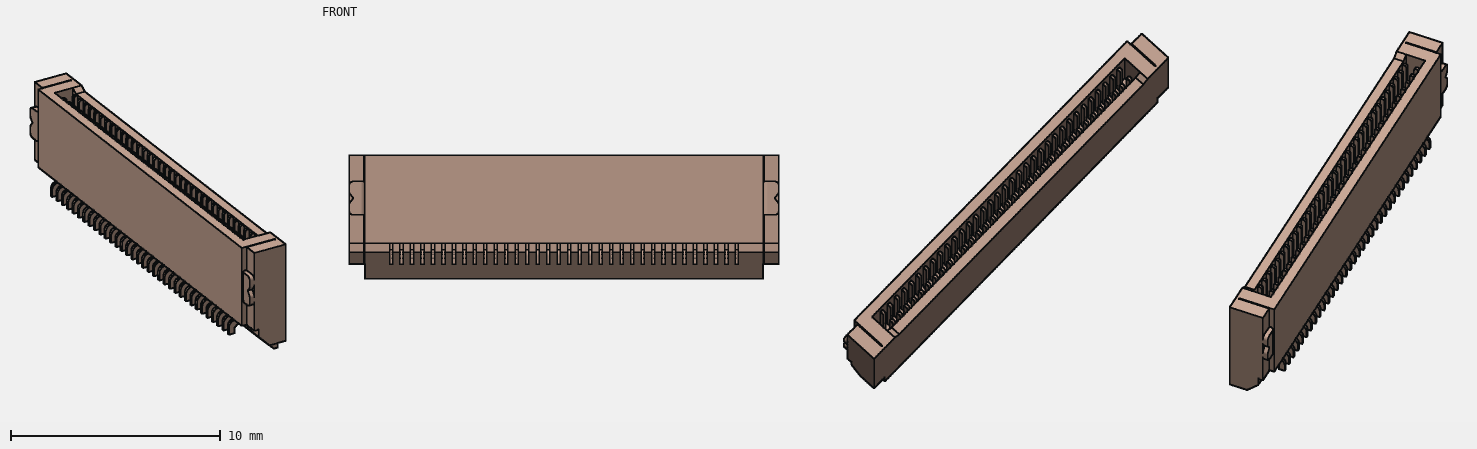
import cadquery as cq


LENGTH = 20.5
THICKNESS = 2.0
HEIGHT = 5.9
FRONT = -THICKNESS / 2
BACK = THICKNESS / 2

BODY_LENGTH = 19.0
FRONT_WALL_BOTTOM = HEIGHT - 4.2
RECESS_DEPTH = 0.5
FOOT_THICKNESS = 0.22
BEVEL_RISE = THICKNESS - RECESS_DEPTH - FOOT_THICKNESS

EAR_BOTTOM = HEIGHT - 5.2
EAR_SETBACK = 0.25
SLIT_WIDTH = 0.05
SLIT_BACK_WALL = 0.17

CAVITY_LENGTH = 17.6
CAVITY_WIDTH = 1.0
CAVITY_FLOOR = HEIGHT - 3.5
BACK_WALL_DROP = 0.2
BACK_WALL_RAMP_RUN = 0.3

CONTACTS_PER_ROW = 34
PITCH = 0.5
CONTACT_WIDTH = 0.15
CONTACT_THICKNESS = 0.22
CONTACT_OFFSET = 0.2
CONTACT_TOP = HEIGHT - 0.1
CONTACT_OUTER_ROUND = 0.1
CONTACT_INNER_ROUND = CONTACT_THICKNESS - CONTACT_OUTER_ROUND

TAIL_THICKNESS = 0.25
TAIL_BOTTOM = EAR_BOTTOM
TAIL_FOOT_THICKNESS = 0.3
TAIL_BEND_TOP = FRONT_WALL_BOTTOM - 0.3
TAIL_BEND_DROP = 0.3
TAIL_INNER_BEND_OFFSET = 0.22

TAB_TOP = HEIGHT - 1.25
TAB_HEIGHT = 1.6
TAB_BEND_RADIUS = 0.22
TAB_CORNER_RADIUS = 0.2
NOTCH_DEPTH = 0.2
NOTCH_HEIGHT = 0.5
NOTCH_LIP_RADIUS = 0.2


def box(x_range, y_range, z_range):
    """Axis-aligned box from its lower and upper limits."""
    size = [high - low for low, high in (x_range, y_range, z_range)]
    return cq.Workplane("XY").box(*size, centered=False).translate(
        (x_range[0], y_range[0], z_range[0])
    )


def extrude_along_x(profile, length):
    """Extrude a YZ sketch symmetrically about X = 0."""
    return profile.extrude(length / 2, both=True)


def mirrored_pair(shape):
    return shape.union(shape.mirror("YZ"))


def housing_profile(front, bottom):
    """Side outline: front wall, tail recess, 45 degree bevel and flat bottom."""
    recess_y = FRONT + RECESS_DEPTH
    bevel_bottom_y = recess_y + BEVEL_RISE - bottom
    return (
        cq.Workplane("YZ")
        .moveTo(front, HEIGHT)
        .lineTo(front, FRONT_WALL_BOTTOM)
        .lineTo(recess_y, FRONT_WALL_BOTTOM)
        .lineTo(recess_y, BEVEL_RISE)
        .lineTo(bevel_bottom_y, bottom)
        .lineTo(BACK, bottom)
        .lineTo(BACK, HEIGHT)
        .close()
    )


def end_slits():
    """Full-height slits that part the ears from the body."""
    inner_x = BODY_LENGTH / 2
    slit = box(
        (inner_x, inner_x + SLIT_WIDTH),
        (FRONT, BACK - SLIT_BACK_WALL),
        (0, HEIGHT),
    )
    return mirrored_pair(slit)


def cavity():
    half_x = CAVITY_LENGTH / 2
    half_y = CAVITY_WIDTH / 2
    return box((-half_x, half_x), (-half_y, half_y), (CAVITY_FLOOR, HEIGHT))


def back_wall_relief():
    """Lowered back wall with sloped ramps at both ends."""
    top_half = CAVITY_LENGTH / 2
    low_half = top_half - BACK_WALL_RAMP_RUN
    low_z = HEIGHT - BACK_WALL_DROP
    return (
        cq.Workplane("XZ", origin=(0, BACK, 0))
        .polyline([(-top_half, HEIGHT), (-low_half, low_z), (low_half, low_z), (top_half, HEIGHT)])
        .close()
        .extrude(BACK - CAVITY_WIDTH / 2)
    )


def housing():
    body = extrude_along_x(housing_profile(FRONT, 0), BODY_LENGTH)
    ears = extrude_along_x(housing_profile(FRONT + EAR_SETBACK, EAR_BOTTOM), LENGTH)
    return body.union(ears).cut(end_slits()).cut(cavity()).cut(back_wall_relief())


def contact():
    """Back-row contact blade with a fully rounded tip."""
    inner_y = CONTACT_OFFSET
    outer_y = CONTACT_OFFSET + CONTACT_THICKNESS
    crest_y = outer_y - CONTACT_OUTER_ROUND
    profile = (
        cq.Workplane("YZ")
        .moveTo(outer_y, CAVITY_FLOOR)
        .lineTo(outer_y, CONTACT_TOP - CONTACT_OUTER_ROUND)
        .radiusArc((crest_y, CONTACT_TOP), -CONTACT_OUTER_ROUND)
        .radiusArc((inner_y, CONTACT_TOP - CONTACT_INNER_ROUND), -CONTACT_INNER_ROUND)
        .lineTo(inner_y, CAVITY_FLOOR)
        .close()
    )
    return extrude_along_x(profile, CONTACT_WIDTH)


def tail():
    """Solder tail that leaves the recess, bends forward and ends flush with the front."""
    back_y = FRONT + RECESS_DEPTH
    upper_y = back_y - TAIL_THICKNESS
    lower_back_y = FRONT + TAIL_FOOT_THICKNESS
    inner_bend_z = TAIL_BEND_TOP - TAIL_INNER_BEND_OFFSET
    inner_bend_run = back_y - lower_back_y
    profile = (
        cq.Workplane("YZ")
        .moveTo(back_y, FRONT_WALL_BOTTOM)
        .lineTo(upper_y, FRONT_WALL_BOTTOM)
        .lineTo(upper_y, TAIL_BEND_TOP)
        .radiusArc((FRONT, TAIL_BEND_TOP - TAIL_BEND_DROP), -TAIL_BEND_DROP)
        .lineTo(FRONT, TAIL_BOTTOM)
        .lineTo(lower_back_y, TAIL_BOTTOM)
        .lineTo(lower_back_y, inner_bend_z - inner_bend_run)
        .lineTo(back_y, inner_bend_z)
        .close()
    )
    return extrude_along_x(profile, CONTACT_WIDTH)


def hold_down_tab():
    """Plate on the front of the +X ear, rounded at its bend and notched at its outer edge."""
    inner_x = BODY_LENGTH / 2
    outer_x = LENGTH / 2
    plate = box(
        (inner_x, outer_x),
        (FRONT, FRONT + EAR_SETBACK),
        (TAB_TOP - TAB_HEIGHT, TAB_TOP),
    )
    plate = plate.edges("|Z and <X and <Y").fillet(TAB_BEND_RADIUS)
    plate = plate.edges("|Y and >X").fillet(TAB_CORNER_RADIUS)
    middle_z = TAB_TOP - TAB_HEIGHT / 2
    notch = (
        cq.Workplane("XZ", origin=(0, FRONT, 0))
        .moveTo(outer_x, middle_z + NOTCH_HEIGHT / 2)
        .lineTo(outer_x - NOTCH_DEPTH, middle_z)
        .lineTo(outer_x, middle_z - NOTCH_HEIGHT / 2)
        .close()
        .extrude(-EAR_SETBACK)
    )
    notched = plate.cut(notch)
    lip_edges = cq.selectors.BoxSelector(
        (outer_x - NOTCH_DEPTH / 2, FRONT - EAR_SETBACK, middle_z - NOTCH_HEIGHT),
        (outer_x + NOTCH_DEPTH / 2, BACK, middle_z + NOTCH_HEIGHT),
    )
    return notched.edges("|Y").edges(lip_edges).fillet(NOTCH_LIP_RADIUS)


def along_row(shape):
    """Copies of a shape at every contact position."""
    first_x = -PITCH * (CONTACTS_PER_ROW - 1) / 2
    return [
        shape.val().translate(cq.Vector(first_x + index * PITCH, 0, 0))
        for index in range(CONTACTS_PER_ROW)
    ]


back_contact = contact()
front_contact = back_contact.mirror("XZ")
metal = along_row(back_contact) + along_row(front_contact) + along_row(tail())

moulding = housing().union(mirrored_pair(hold_down_tab()))
result = cq.Workplane("XY").newObject([moulding.val().fuse(*metal)])